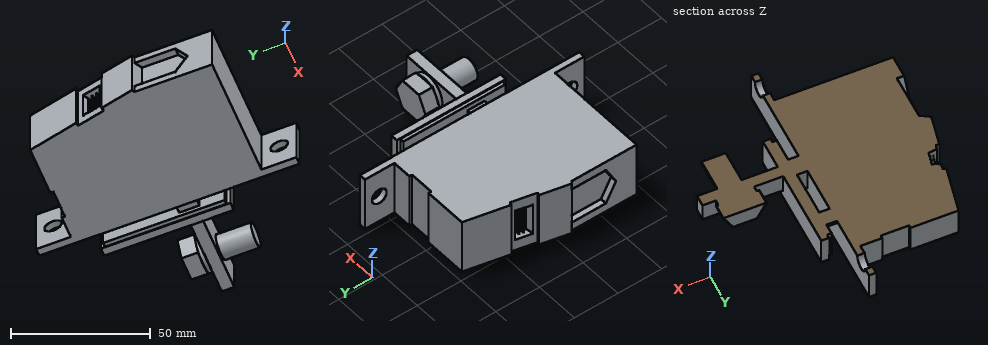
import cadquery as cq
import math


housing_height = 25.0
housing_half_length = 36.9
housing_front_x = -49.8
flange_length = 100.7
flange_thickness = 3.0
mount_hole_diameter = 6.6
mount_hole_offset = 43.7

slope_top_x = -41.7
nose_x = -50.9
nose_y = -6.2

step_top_y = 17.3
step_bottom_y = 6.5
step_depth = 1.3
window_height = 14.4
window_top = 15.3
window_bottom = 8.3
window_floor_top = 14.5
window_floor_bottom = 9.5
window_ledge_depth = 3.3
window_floor_depth = 4.6
rib_positions = (12.8, 11.0)
rib_width = 0.4

arrow_height = 16.6
arrow_depth = 2.8
arrow_floor_y = -8.7
arrow_shoulder_y = -22.7
arrow_tip_y = -27.3

recess_start_x = -22.6
recess_end_x = -11.6
recess_depth = 1.2

pad_x = 3.9
pad_thickness = 1.7
pad_length = 46.9
pad_height = 24.1
plate_thickness = 3.2
plate_length = 50.1
plate_height = 24.7
stack_center_y = 3.7
pin_diameter = 6.4
pin_center_y = 19.7
stem_thickness = 7.9
stem_height = 19.0

terminal_y = -6.1
bar_thickness = 4.9
bar_height = 16.1
bar_end_x = 40.7
bolt_x = 27.8
shank_diameter = 9.8
shank_end_y = -22.2
washer_diameter = 15.3
washer_thickness = 2.0
head_thickness = 6.4
head_width = 17.1
head_flat_width = 9.6
head_height = 14.1

arrow_floor_x = housing_front_x + arrow_depth
plate_x = pad_x + pad_thickness
plate_back_x = plate_x + plate_thickness
slope_angle = math.atan2(slope_top_x - nose_x, housing_half_length - nose_y)


def slope_point(y, depth=0.0):
    """XY point at a depth square to the slope, below the slope point at height y."""
    x = nose_x + (y - nose_y) * math.tan(slope_angle)
    return (x + depth * math.cos(slope_angle), y - depth * math.sin(slope_angle))


def box_between(x0, x1, y_center, y_size, z_size):
    """Box spanning x0 to x1, centred on Z = 0."""
    box = cq.Workplane("XY").box(x1 - x0, y_size, z_size)
    return box.translate(((x0 + x1) / 2, y_center, 0))


def prism(points, height):
    """XY outline extruded evenly about Z = 0."""
    return cq.Workplane("XY").polyline(points).close().extrude(height / 2, both=True)


def cylinder_along_y(diameter, y0, y1):
    """Cylinder on the bolt axis, running from y0 to y1."""
    plane = cq.Workplane("XZ", origin=(bolt_x, y0, 0))
    return plane.circle(diameter / 2).extrude(y0 - y1)


def nose_underside_y(x):
    """Y of the nose's sloping underside, which runs straight to the arrow pocket floor."""
    return nose_y + (x - nose_x) * (arrow_floor_y - nose_y) / (arrow_floor_x - nose_x)


def make_housing():
    outline = [
        (0, -housing_half_length),
        (housing_front_x, -housing_half_length),
        (housing_front_x, nose_underside_y(housing_front_x)),
        (nose_x, nose_y),
        slope_point(step_bottom_y),
        slope_point(step_bottom_y, step_depth),
        slope_point(step_top_y, step_depth),
        slope_point(step_top_y),
        (slope_top_x, housing_half_length),
        (recess_start_x, housing_half_length),
        (recess_start_x, housing_half_length - recess_depth),
        (recess_end_x, housing_half_length - recess_depth),
        (recess_end_x, housing_half_length),
        (0, housing_half_length),
    ]
    return prism(outline, housing_height)


def make_flange():
    flange = box_between(-flange_thickness, 0, 0, flange_length, housing_height)
    holes = (
        cq.Workplane("YZ")
        .pushPoints([(-mount_hole_offset, 0), (mount_hole_offset, 0)])
        .circle(mount_hole_diameter / 2)
        .extrude(-flange_thickness)
    )
    return flange.cut(holes)


def make_window():
    """Finger window cutter: stepped floor with thin upright ribs left standing."""
    outline = [
        slope_point(window_top, step_depth),
        slope_point(window_floor_top, window_ledge_depth),
        slope_point(window_floor_top, window_floor_depth),
    ]
    for rib_y in rib_positions:
        rib_top = rib_y + rib_width / 2
        rib_bottom = rib_y - rib_width / 2
        outline += [
            slope_point(rib_top, window_floor_depth),
            slope_point(rib_top, window_ledge_depth),
            slope_point(rib_bottom, window_ledge_depth),
            slope_point(rib_bottom, window_floor_depth),
        ]
    outline += [
        slope_point(window_floor_bottom, window_floor_depth),
        slope_point(window_bottom, step_depth),
    ]
    return prism(outline, window_height)


def make_arrow_pocket():
    """Pointed pocket cutter whose +Y end follows the nose's sloping underside."""
    half = arrow_height / 2
    arrow = (
        cq.Workplane("YZ", origin=(nose_x, 0, 0))
        .polyline([(nose_y, half), (arrow_shoulder_y, half), (arrow_tip_y, 0),
                   (arrow_shoulder_y, -half), (nose_y, -half)])
        .close()
        .extrude(arrow_floor_x - nose_x)
    )
    below_nose = prism(
        [(nose_x, nose_y), (arrow_floor_x, arrow_floor_y),
         (arrow_floor_x, arrow_tip_y), (nose_x, arrow_tip_y)],
        arrow_height,
    )
    return arrow.intersect(below_nose)


def make_contact_stack():
    pin = cq.Workplane("YZ").center(pin_center_y, 0).circle(pin_diameter / 2).extrude(pad_x)
    stem = box_between(0, pad_x, terminal_y, stem_thickness, stem_height)
    pad = box_between(pad_x, plate_x, stack_center_y, pad_length, pad_height)
    plate = box_between(plate_x, plate_back_x, stack_center_y, plate_length, plate_height)
    return plate.union(pad).union(stem).union(pin)


def make_terminal():
    bar = box_between(plate_back_x, bar_end_x, terminal_y, bar_thickness, bar_height)
    bar_top_y = terminal_y + bar_thickness / 2
    washer_top_y = bar_top_y + washer_thickness
    shank = cylinder_along_y(shank_diameter, terminal_y, shank_end_y)
    washer = cylinder_along_y(washer_diameter, bar_top_y, washer_top_y)
    point_x = head_width / 2
    flat_x = head_flat_width / 2
    flat_z = head_height / 2
    head = (
        cq.Workplane("XZ", origin=(bolt_x, washer_top_y, 0))
        .polyline([(point_x, 0), (flat_x, flat_z), (-flat_x, flat_z),
                   (-point_x, 0), (-flat_x, -flat_z), (flat_x, -flat_z)])
        .close()
        .extrude(-head_thickness)
    )
    return bar.union(shank).union(washer).union(head)


housing = make_housing().cut(make_window()).cut(make_arrow_pocket())
result = housing.union(make_flange()).union(make_contact_stack()).union(make_terminal())